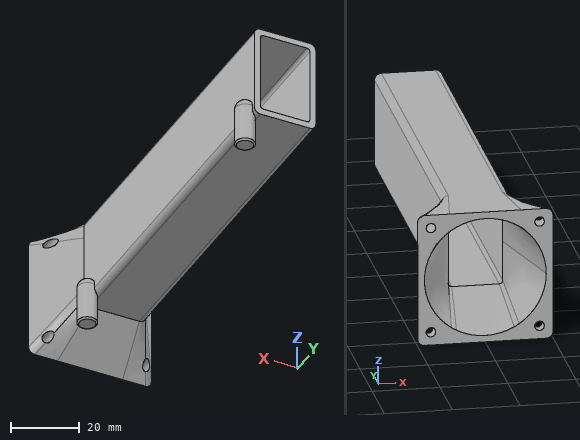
import cadquery as cq
import math

total_length = 126.0
mouth_size = 40.0
flare_length = 16.0
duct_width = 20.0
duct_height = 30.0
corner_radius = 2.0
wall = 2.0

mouth_top_break = 10.6
duct_side_break = 6.2

hole_diameter = 2.8
hole_spacing = 32.0

post_diameter = 6.0
post_x = 11.0
post_bottom_z = -19.4
post_chamfer = 0.5
post_dome_radius = 2.9
post_end_distance = 4.2
post_mouth_distance = 20.0

duct_length = total_length - flare_length
duct_center_z = (mouth_size - duct_height) / 2
duct_bottom_z = duct_center_z - duct_height / 2
bore_radius = mouth_size / 2 - wall
inner_corner_radius = corner_radius / 2


def section_plane(y):
    """Plane across the duct, with local x along X, local y along Z and normal toward -Y."""
    return cq.Workplane("XZ", origin=(0, y, 0))


def rounded_rectangle(width, height, radius):
    return cq.Sketch().rect(width, height).vertices().fillet(radius)


def duct_section(inset, radius):
    section = rounded_rectangle(duct_width - 2 * inset, duct_height - 2 * inset, radius)
    return section.moved(cq.Location(cq.Vector(0, duct_center_z, 0)))


def straight_duct(inset, radius):
    return section_plane(flare_length).placeSketch(duct_section(inset, radius)).extrude(-duct_length)


def outline(y, center_z, half_width, half_height, top_break, side_break):
    """Rounded rectangle in twelve edges, split at one extra point beside each corner.

    top_break is the X of a split on the top and bottom sides, side_break is the local
    height of a split on the left and right sides; None leaves that side whole.
    """
    flat_x = half_width - corner_radius
    flat_z = half_height - corner_radius
    arc_offset = corner_radius * math.sqrt(0.5)
    corners = []
    for sign_x, sign_z in ((1, 1), (1, -1), (-1, -1), (-1, 1)):
        top_side = [(flat_x, half_height)]
        if top_break is not None:
            top_side.insert(0, (top_break, half_height))
        right_side = [(half_width, flat_z)]
        if side_break is not None:
            right_side.append((half_width, side_break))
        arc_middle = (flat_x + arc_offset, flat_z + arc_offset)
        corner = [top_side, [arc_middle], right_side]
        if sign_x != sign_z:
            corner = [group[::-1] for group in corner[::-1]]
        corners.append([[(sign_x * x, center_z + sign_z * z) for x, z in group] for group in corner])

    path = section_plane(y).moveTo(*corners[0][0][0])
    for index, (before, arc_middle, after) in enumerate(corners):
        points_before = before if index else before[1:]
        for point in points_before:
            path = path.lineTo(*point)
        path = path.threePointArc(arc_middle[0], after[0])
        for point in after[1:]:
            path = path.lineTo(*point)
    return path.close().val()


def outer_flare():
    """Ruled flare whose edges are paired so that the corners twist and sink inward."""
    half_mouth = mouth_size / 2
    mouth = outline(0, 0, half_mouth, half_mouth, mouth_top_break, None)
    end = outline(
        flare_length, duct_center_z, duct_width / 2, duct_height / 2, None, duct_height / 2 - duct_side_break
    )
    return cq.Workplane(cq.Solid.makeLoft([mouth, end], ruled=True))


def inner_flare():
    """Passage blending the round mouth opening into the rectangular duct."""
    mouth = cq.Sketch().circle(bore_radius)
    end = duct_section(wall, inner_corner_radius).moved(cq.Location(cq.Vector(0, 0, -flare_length)))
    return section_plane(0).placeSketch(mouth, end).loft(ruled=True)


def mounting_holes():
    centers = section_plane(0).rect(hole_spacing, hole_spacing, forConstruction=True).vertices()
    return centers.circle(hole_diameter / 2).extrude(-flare_length)


def post(y):
    """Vertical post with a domed top, merged into the side of the duct."""
    radius = post_diameter / 2
    height = duct_bottom_z + post_diameter - post_bottom_z
    body = cq.Workplane("XY", origin=(post_x, y, post_bottom_z)).circle(radius).extrude(height)
    return body.faces("<Z").chamfer(post_chamfer).faces(">Z").edges().fillet(post_dome_radius)


body = outer_flare().union(straight_duct(0, corner_radius))
for post_y in (post_mouth_distance, total_length - post_end_distance):
    body = body.union(post(post_y))

result = body.cut(inner_flare()).cut(straight_duct(wall, inner_corner_radius)).cut(mounting_holes())